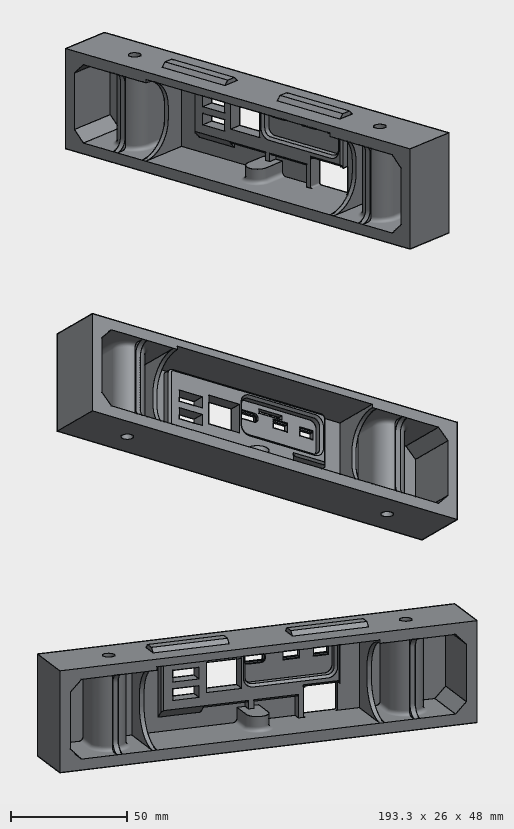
import cadquery as cq
import math

length = 193.3
depth = 26.0
body_height = 46.0
wall = 5.0
back_wall = 2.1
front_y = -depth / 2
back_y = depth / 2
wall_y = back_y - back_wall
pocket_top = body_height - wall
overlap = 2.0

bay_half_width = 51.6
bay_top = 42.5
web_thickness = 2.1
web_radius = 15.0

post_x = 68.8
post_diameter = 15.0
hole_diameter = 5.5
base_fillet = 2.0
rib_width = 2.5
rib_radius = 5.0

ridge_length = 35.2
ridge_x = 32.3
ridge_height = 2.0
ridge_base_width = 8.3

panel_half_width = 41.5
panel_bottom = 14.7
panel_rise = 4.0
panel_chamfer = 1.0
panel_corner = 2.3
panel_y = wall_y - panel_rise
wedge_right = -21.8
stem_width = 2.5
leg_left = 21.8
leg_right = 24.2

lug_diameter = 10.0
lug_top = 11.8

small_windows = [(-36.3, -24.2, 28.0, 33.2), (-36.3, -24.2, 19.7, 25.0)]
square_window = (-20.7, -4.5, 21.5, 35.0)
corner_window_top = 18.8
corner_window_fillet = 0.8

inlet_left, inlet_right, inlet_bottom, inlet_top = -3.7, 40.0, 21.5, 40.8
inlet_corner = 4.6
inlet_chamfer = 1.2
inlet_depth = 3.9

slot_z = 32.9
slot_height = 2.9
slot_mouth_height = 4.3
slot_mouth_depth = 1.0
round_slot = (-2.1, 8.1)
square_slots = [(16.2, 23.8), (30.3, 37.3)]
key_slot = (8.7, 20.9, 35.8, 37.7)


def block(left, right, near, far, bottom, top):
    """Box given by its limits along X, Y and Z."""
    size = (right - left, far - near, top - bottom)
    return cq.Workplane("XY").box(*size, centered=False).translate((left, near, bottom))


def side_profile(x):
    """YZ plane at position x; extrusions run toward +X."""
    return cq.Workplane("YZ", origin=(x, 0, 0))


def make_shell():
    body = block(-length / 2, length / 2, front_y, back_y, 0, body_height)
    pocket = block(-length / 2 + wall, length / 2 - wall, front_y - overlap, wall_y, wall, pocket_top)
    pocket = pocket.edges("|Y").chamfer(wall)
    bay = block(-bay_half_width, bay_half_width, front_y - overlap, wall_y, wall, bay_top)
    return body.cut(pocket).cut(bay)


def make_brace(left, thickness, radius):
    """Upright plate against the back wall; quarter arcs sweep its front edge out to floor and ceiling."""
    edge_y = front_y + radius
    reach = radius * (1 - math.sqrt(0.5))
    return (
        side_profile(left)
        .moveTo(wall_y, wall)
        .lineTo(front_y, wall)
        .threePointArc((edge_y - reach, wall + reach), (edge_y, wall + radius))
        .lineTo(edge_y, pocket_top - radius)
        .threePointArc((edge_y - reach, pocket_top - reach), (front_y, pocket_top))
        .lineTo(wall_y, pocket_top)
        .close()
        .extrude(thickness)
    )


def make_prong(x, diameter, top, flared_top):
    """Upright on the floor, joined to the back wall, with a round nose and flared ends."""
    radius = diameter / 2
    flare = radius + base_fillet
    bend = radius + base_fillet * (1 - math.sqrt(0.5))
    bend_height = base_fillet * (1 - math.sqrt(0.5))
    profile = (
        cq.Workplane("XZ")
        .moveTo(0, wall)
        .lineTo(flare, wall)
        .threePointArc((bend, wall + bend_height), (radius, wall + base_fillet))
    )
    if flared_top:
        profile = profile.lineTo(radius, top - base_fillet)
        profile = profile.threePointArc((bend, top - bend_height), (flare, top))
    else:
        profile = profile.lineTo(radius, top)
    profile = profile.lineTo(0, top).close()

    nose = profile.revolve(360, (0, 0, 0), (0, 1, 0))
    right_half = profile.toPending().extrude(-wall_y)
    left_half = right_half.mirror("YZ")
    return nose.union(right_half).union(left_half).translate((x, 0, 0))


def make_post(x):
    """Prong from floor to ceiling with a rib along its front."""
    post = make_prong(x, post_diameter, pocket_top, True)
    return post.union(make_brace(x - rib_width / 2, rib_width, rib_radius))


def make_ridge(x):
    half_base = ridge_base_width / 2
    half_top = half_base - ridge_height
    return (
        side_profile(x - ridge_length / 2)
        .polyline([
            (-half_base, body_height),
            (half_base, body_height),
            (half_top, body_height + ridge_height),
            (-half_top, body_height + ridge_height),
        ])
        .close()
        .extrude(ridge_length)
    )


def make_panel():
    """Raised panel with bevelled rim, wedge below its left end, stem on the lug and leg on the floor.

    The leg is left wide enough for the rounded corner of the window cut beside it.
    """
    panel = block(-panel_half_width, panel_half_width, panel_y, wall_y, panel_bottom, bay_top)
    panel = panel.edges("|Y and >Z").fillet(panel_corner)
    panel = panel.faces("<Y").chamfer(panel_chamfer)
    bevel_top = corner_window_top + panel_chamfer
    window_bevel = (
        side_profile(leg_right)
        .polyline([
            (panel_y, corner_window_top),
            (panel_y, bevel_top),
            (panel_y + panel_chamfer, corner_window_top),
        ])
        .close()
        .extrude(panel_half_width - leg_right)
    )
    wedge_top = panel_bottom + panel_chamfer
    wedge = (
        side_profile(-panel_half_width)
        .polyline([(panel_y, wedge_top), (wall_y, wedge_top), (wall_y, wedge_top - panel_rise)])
        .close()
        .extrude(panel_half_width + wedge_right)
        .intersect(block(-panel_half_width, 0, panel_y + panel_chamfer, wall_y, 0, wedge_top))
    )
    stem = block(-stem_width / 2, stem_width / 2, panel_y, wall_y, lug_top, wedge_top)
    leg_foot_end = leg_right + corner_window_fillet
    leg = block(leg_left, leg_foot_end, panel_y, wall_y, wall, wedge_top)
    return panel.union(leg).cut(window_bevel).union(wedge).union(stem)


def window(left, right, bottom, top):
    return block(left, right, front_y, back_y + overlap, bottom, top)


def make_round_slot():
    """Contact slot with a round-ended mouth around a rectangular opening."""
    left, right = round_slot
    inset = (slot_mouth_height - slot_height) / 2
    mouth_end = panel_y + inlet_depth + slot_mouth_depth
    mouth = (
        cq.Workplane("XZ", origin=(0, mouth_end, 0))
        .center((left + right) / 2, slot_z)
        .slot2D(right - left, slot_mouth_height)
        .extrude(slot_mouth_depth + overlap)
    )
    return mouth.union(window(left + inset, right - inset, slot_z - slot_height / 2, slot_z + slot_height / 2))


def make_inlet():
    """Rounded recess with a bevelled rim, and contact slots through its floor."""
    floor_y = panel_y + inlet_depth
    rim = block(
        inlet_left,
        inlet_right,
        panel_y - overlap,
        panel_y + inlet_chamfer,
        inlet_bottom,
        inlet_top,
    )
    rim = rim.edges("|Y").fillet(inlet_corner).faces(">Y").chamfer(inlet_chamfer)
    inner = block(
        inlet_left + inlet_chamfer,
        inlet_right - inlet_chamfer,
        panel_y,
        floor_y,
        inlet_bottom + inlet_chamfer,
        inlet_top - inlet_chamfer,
    ).edges("|Y").fillet(inlet_corner - inlet_chamfer)
    inlet = rim.union(inner).union(window(*key_slot))

    for left, right in square_slots:
        slot_bottom = slot_z - slot_height / 2
        mouth_bottom = slot_z - slot_mouth_height / 2
        mouth = block(
            left,
            right,
            floor_y - overlap,
            floor_y + slot_mouth_depth,
            mouth_bottom,
            mouth_bottom + slot_mouth_height,
        )
        inlet = inlet.union(mouth).union(window(left, right, slot_bottom, slot_bottom + slot_height))
    return inlet.union(make_round_slot())


result = make_shell()
for brace_left in (-bay_half_width - web_thickness, bay_half_width):
    result = result.union(make_brace(brace_left, web_thickness, web_radius))
for side in (-1, 1):
    result = result.union(make_post(side * post_x))
    result = result.union(make_ridge(side * ridge_x))
result = result.union(make_panel()).union(make_prong(0, lug_diameter, lug_top, False))

for opening in small_windows + [square_window]:
    result = result.cut(window(*opening))
corner_window = window(leg_right, panel_half_width, wall, corner_window_top)
result = result.cut(corner_window.edges("|Y").fillet(corner_window_fillet))
result = result.cut(make_inlet())

for side in (-1, 1):
    hole = cq.Workplane("XY").center(side * post_x, 0).circle(hole_diameter / 2).extrude(body_height)
    result = result.cut(hole)